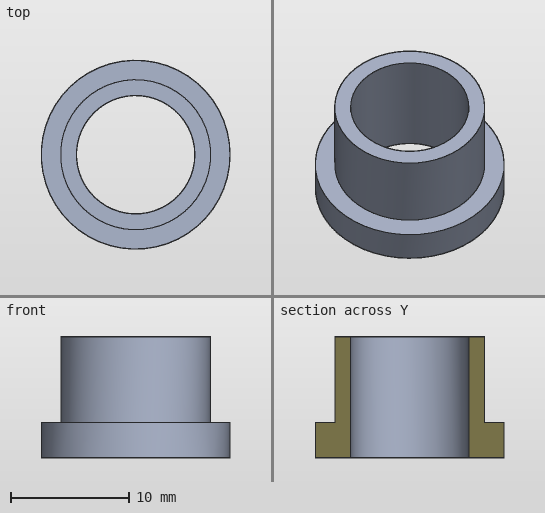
import cadquery as cq

flange_diameter = 16.0
sleeve_diameter = 12.7
bore_diameter = 10.0
total_height = 10.27
flange_height = 3.0

flange = cq.Workplane("XY").circle(flange_diameter / 2).extrude(flange_height)
sleeve = cq.Workplane("XY").circle(sleeve_diameter / 2).extrude(total_height)
bore = cq.Workplane("XY").circle(bore_diameter / 2).extrude(total_height)

result = flange.union(sleeve).cut(bore)